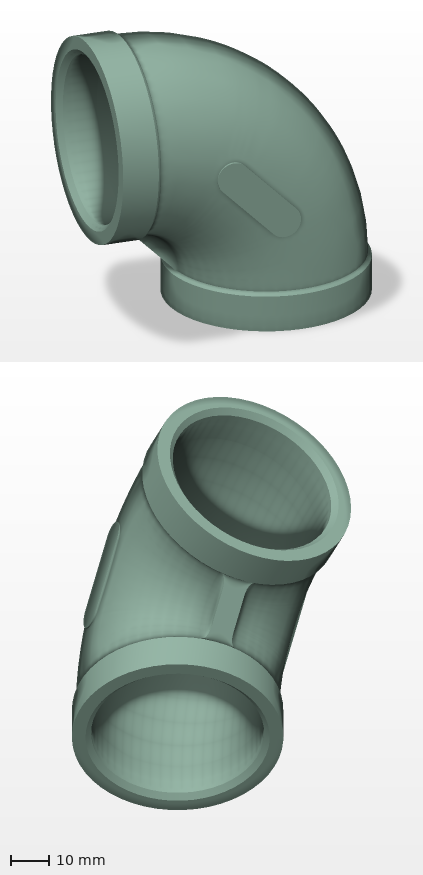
import cadquery as cq
import math

overall_length = 77.75
collar_diameter = 55.5
collar_length = 11.0
collar_chamfer = 1.0
bore_diameter = 45.4
mouth_diameter = 48.35
mouth_chamfer_length = 1.5

collar_radius = collar_diameter / 2
body_radius = collar_radius - collar_chamfer
bore_radius = bore_diameter / 2
mouth_radius = mouth_diameter / 2
face_distance = overall_length - collar_radius
bend_radius = face_distance - collar_length

web_half_width = 3.1
web_fillet = 2.8

pad_width = 9.0
pad_length = 29.1
pad_face_x = 27.05
pad_bend_radius = 38.65

end_planes = [
    cq.Plane(origin=(0, -face_distance, 0), xDir=(1, 0, 0), normal=(0, 1, 0)),
    cq.Plane(origin=(0, 0, -face_distance), xDir=(1, 0, 0), normal=(0, 0, 1)),
]

section_plane = cq.Plane(origin=(0, -bend_radius, 0), xDir=(1, 0, 0), normal=(0, -1, 0))
AXIS_START = (0, -bend_radius)
AXIS_END = (-1, -bend_radius)
BEND_ANGLE = 90
HALF_BEND = BEND_ANGLE / 2
FULL_TURN = 360


def sweep_bend(section):
    """Revolve a radial section through the bend, from the -Y end to the -Z end."""
    return section.revolve(BEND_ANGLE, AXIS_START, AXIS_END)


def end_collar(plane):
    """Solid collar, chamfered down to the body radius at its inner end."""
    collar = cq.Workplane(plane).circle(collar_radius).extrude(collar_length)
    inner_face = cq.selectors.DirectionMinMaxSelector(plane.zDir, True)
    return collar.faces(inner_face).chamfer(collar_chamfer)


def end_bore(plane):
    """Straight bore through a collar with a conical mouth at the end face."""
    half_profile = [
        (0, 0),
        (mouth_radius, 0),
        (bore_radius, mouth_chamfer_length),
        (bore_radius, collar_length),
        (0, collar_length),
    ]
    profile_plane = cq.Plane(origin=plane.origin, xDir=plane.xDir, normal=plane.xDir.cross(plane.zDir))
    return cq.Workplane(profile_plane).polyline(half_profile).close().revolve(FULL_TURN, (0, 0), (0, 1))


def corner_web():
    """Web with filleted roots, trimmed flat along the chord between the collars."""
    center_distance = body_radius + web_fillet
    center_x = web_half_width + web_fillet
    center_y = -math.sqrt(center_distance**2 - center_x**2)
    root_x = center_x * body_radius / center_distance
    root_y = center_y * body_radius / center_distance

    root_angle = math.atan2(root_y - center_y, root_x - center_x)
    middle_angle = (root_angle + math.pi) / 2
    middle_x = center_x + web_fillet * math.cos(middle_angle)
    middle_y = center_y + web_fillet * math.sin(middle_angle)

    section = (
        cq.Workplane(section_plane)
        .moveTo(-root_x, root_y)
        .threePointArc((-middle_x, middle_y), (-web_half_width, center_y))
        .lineTo(-web_half_width, -bend_radius)
        .lineTo(web_half_width, -bend_radius)
        .lineTo(web_half_width, center_y)
        .threePointArc((middle_x, middle_y), (root_x, root_y))
        .threePointArc((0, -body_radius), (-root_x, root_y))
        .close()
    )
    inner_radius = bend_radius - body_radius
    corner = (
        cq.Workplane("YZ")
        .polyline([
            (-bend_radius, -bend_radius),
            (-bend_radius + inner_radius, -bend_radius),
            (-bend_radius, -bend_radius + inner_radius),
        ])
        .close()
        .extrude(root_x, both=True)
    )
    return sweep_bend(section).cut(corner)


def label_pads():
    """Round-ended bar across the bend whose end faces form both pads."""
    offset = pad_bend_radius * math.cos(math.radians(HALF_BEND)) - bend_radius
    return (
        cq.Workplane("YZ")
        .center(offset, offset)
        .slot2D(pad_length, pad_width, -HALF_BEND)
        .extrude(pad_face_x, both=True)
    )


elbow = sweep_bend(cq.Workplane(section_plane).circle(body_radius))
for end_plane in end_planes:
    elbow = elbow.union(end_collar(end_plane))
elbow = elbow.union(corner_web()).union(label_pads())

elbow = elbow.cut(sweep_bend(cq.Workplane(section_plane).circle(bore_radius)))
for end_plane in end_planes:
    elbow = elbow.cut(end_bore(end_plane))

result = elbow